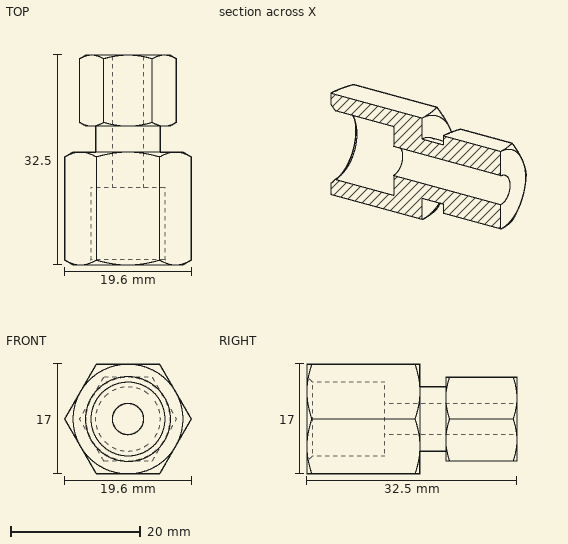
import cadquery as cq
import math

BODY_FLATS = 17.0
BODY_LENGTH = 17.5
NUT_FLATS = 13.0
NUT_LENGTH = 11.02
NECK_DIAMETER = 10.0
NECK_LENGTH = 4.0
HEXAGON_HALF_SECTOR = 30.0
CHAMFER_ANGLE = 30.0

SOCKET_DIAMETER = 11.445
SOCKET_MOUTH_DIAMETER = 13.157
SOCKET_DEPTH = 12.0
BORE_DIAMETER = 4.8

NECK_START = BODY_LENGTH
NUT_START = NECK_START + NECK_LENGTH
TOTAL_LENGTH = NUT_START + NUT_LENGTH


def plane_at(y):
    """Plane across the axis at y, with its normal along +Y and its x axis along +X."""
    return cq.Plane(origin=(0, y, 0), xDir=(1, 0, 0), normal=(0, 1, 0))


def cylinder(start, diameter, length):
    return cq.Workplane(plane_at(start)).circle(diameter / 2).extrude(length)


def chamfered_hexagon(start, flats, length):
    """Hexagon with corners on the X axis, its corners turned off conically at both ends."""
    corners = flats / math.cos(math.radians(HEXAGON_HALF_SECTOR))
    drop = (corners - flats) / 2 * math.tan(math.radians(CHAMFER_ANGLE))
    end = start + length
    hexagon = cq.Workplane(plane_at(start)).polygon(6, corners).extrude(length)
    turned_blank = (
        cq.Workplane("XY")
        .moveTo(0, start)
        .lineTo(flats / 2, start)
        .lineTo(corners / 2, start + drop)
        .lineTo(corners / 2, end - drop)
        .lineTo(flats / 2, end)
        .lineTo(0, end)
        .close()
        .revolve(360, (0, 0, 0), (0, 1, 0))
    )
    return hexagon.intersect(turned_blank)


def socket():
    """Blind threaded-end socket with a 45 degree countersunk mouth."""
    radius = SOCKET_DIAMETER / 2
    mouth_radius = SOCKET_MOUTH_DIAMETER / 2
    mouth_depth = mouth_radius - radius
    return (
        cq.Workplane("XY")
        .lineTo(mouth_radius, 0)
        .lineTo(radius, mouth_depth)
        .lineTo(radius, SOCKET_DEPTH)
        .lineTo(0, SOCKET_DEPTH)
        .close()
        .revolve(360, (0, 0, 0), (0, 1, 0))
    )


body = chamfered_hexagon(0, BODY_FLATS, BODY_LENGTH)
neck = cylinder(NECK_START, NECK_DIAMETER, NECK_LENGTH)
nut = chamfered_hexagon(NUT_START, NUT_FLATS, NUT_LENGTH)
bore = cylinder(0, BORE_DIAMETER, TOTAL_LENGTH)

result = body.union(neck).union(nut).cut(socket()).cut(bore)